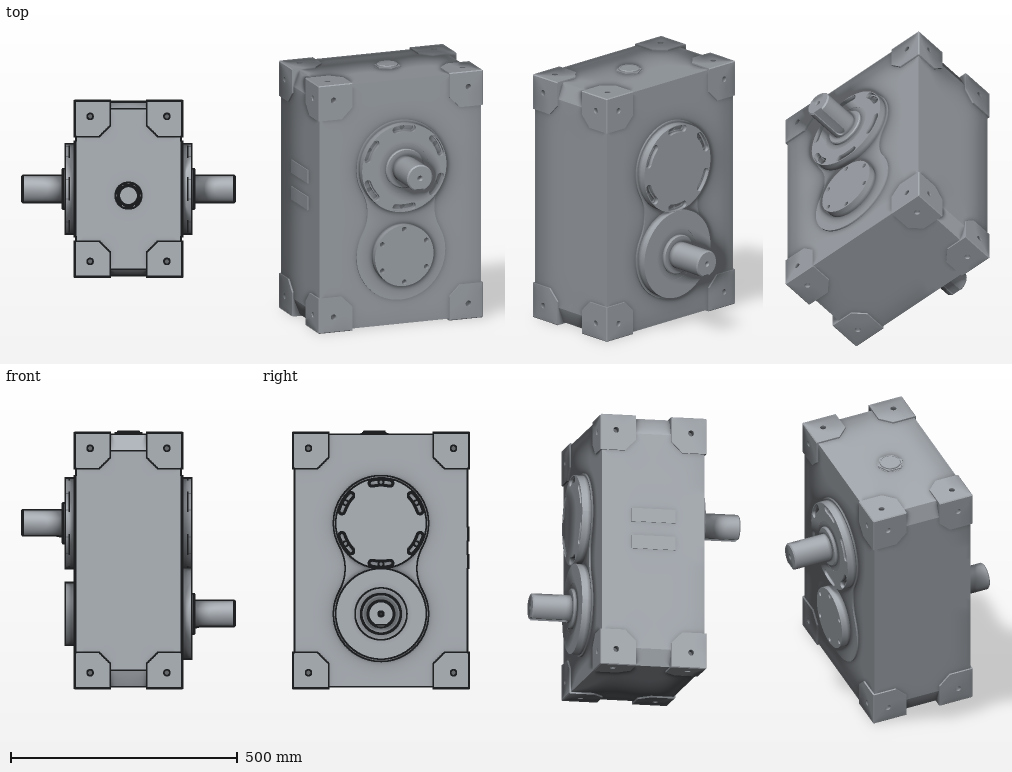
import cadquery as cq
import math

PAD_SPAN_X = 239.5
PAD_SPAN_Y = 390.0
PAD_SPAN_Z = 565.0
PAD_THICKNESS = 4.0
PAD_SIDE = 80.0
PAD_CORNER_CUT = 25.0
PAD_EDGE_CHAMFER = 2.0
PAD_HOLE_INSET = 35.0
PAD_HOLE_DIAMETER = 13.0
PAD_HOLE_DEPTH = 20.0

RELIEF_Y = 14.0
RELIEF_Z = 36.5

AXIS_SPACING = 200.0
UPPER_AXIS_Z = 82.5
LOWER_AXIS_Z = UPPER_AXIS_Z - AXIS_SPACING

PLATE_LOBE_RADIUS = 105.0
PLATE_NECK_RADIUS = 100.0

FLANGE_RADIUS = 100.0
FLANGE_FACE_X = 140.0
COVER_RADIUS = 69.5
BOLT_COUNT = 6
FIRST_BOLT_ANGLE = 90
COVER_BOLT_CIRCLE_RADIUS = 60.0
BOLT_HOLE_DIAMETER = 11.5
BOLT_HOLE_DEPTH = 17.0
FLANGE_BOLT_CIRCLE_RADIUS = 90.5
SLOT_HALF_ANGLE = 12.6
SLOT_HALF_WIDTH = 8.0
SLOT_DEPTH = 9.0
SLOT_FLOOR_HALF_WIDTH = 5.0
SLOT_FLOOR_DEPTH = 13.5
SEAL_RECESS_RADIUS = 57.5
SEAL_RECESS_DEPTH = 0.5

OVERALL_X = 470.0
SHAFT_DIAMETER = 60.0
SHAFT_CHAMFER = 3.0
HUB_RADIUS = 45.0
HUB_FACE_X = 146.0
HUB_CHAMFER = 2.0
KEYWAY_WIDTH = 21.5
KEYWAY_DEPTH = 6.0
KEYWAY_LENGTH = 85.0
CENTER_HOLE_DIAMETER = 7.0
CENTER_HOLE_DEPTH = 17.0
CENTER_SINK_DIAMETER = 12.5
CENTER_SINK_ANGLE = 60

OVERALL_Z = 568.0
PLUG_Y = -15.0
PLUG_TOP_Z = OVERALL_Z - PAD_SPAN_Z / 2
PLUG_HEX_ACROSS_FLATS = 50.5
PLUG_HEX_HEIGHT = 3.0
PLUG_WASHER_HEIGHT = 0.5
PLUG_HEAD_DIAMETER = 46.5
PLUG_HEAD_CHAMFER = 1.0
PLUG_RECESS_DIAMETER = 41.0
PLUG_RECESS_DEPTH = 1.0

BAR_LENGTH = 100.0
BAR_HEIGHT = 30.0
BAR_THICKNESS = 2.0
BAR_CENTERS_Z = (58.5, -2.0)

BODY_X = PAD_SPAN_X - 2 * PAD_THICKNESS
BODY_Y = PAD_SPAN_Y - 2 * PAD_THICKNESS
BODY_Z = PAD_SPAN_Z - 2 * PAD_THICKNESS
PLATE_FACE_X = PAD_SPAN_X / 2
SHAFT_END_X = OVERALL_X / 2
SIGNS = (-1, 1)


def x_cylinder(radius, start_x, end_x, z):
    """Cylinder along X on the axis at height z."""
    return cq.Workplane("YZ", origin=(start_x, 0, z)).circle(radius).extrude(end_x - start_x)


def make_body():
    """Housing block with its four long edges relieved between the pads."""
    body = cq.Workplane("XY").box(BODY_X, BODY_Y, BODY_Z)
    relief_length = PAD_SPAN_X - 2 * PAD_SIDE
    for side_y in SIGNS:
        for side_z in SIGNS:
            edge_y = side_y * BODY_Y / 2
            edge_z = side_z * BODY_Z / 2
            corner = [
                (edge_y, edge_z),
                (edge_y - side_y * RELIEF_Y, edge_z),
                (edge_y, edge_z - side_z * RELIEF_Z),
            ]
            relief = cq.Workplane("YZ").polyline(corner).close()
            body = body.cut(relief.extrude(relief_length / 2, both=True))
    return body


PAD_PLANES = (
    ("YZ", PAD_SPAN_Y, PAD_SPAN_Z, PAD_SPAN_X),
    ("XZ", PAD_SPAN_X, PAD_SPAN_Z, PAD_SPAN_Y),
    ("XY", PAD_SPAN_X, PAD_SPAN_Y, PAD_SPAN_Z),
)


def add_pads(body):
    """Three plates at each of the eight corners, drilled, with bevelled outer edges."""
    pads = cq.Workplane("XY")
    holes = cq.Workplane("XY")
    for plane, span_u, span_v, span_normal in PAD_PLANES:
        hole_u = span_u - 2 * PAD_HOLE_INSET
        hole_v = span_v - 2 * PAD_HOLE_INSET
        for side in SIGNS:
            face = cq.Workplane(plane).workplane(offset=side * span_normal / 2)
            for sign_u in SIGNS:
                for sign_v in SIGNS:
                    inset = [
                        (0, 0),
                        (PAD_SIDE, 0),
                        (PAD_SIDE, PAD_SIDE - PAD_CORNER_CUT),
                        (PAD_SIDE - PAD_CORNER_CUT, PAD_SIDE),
                        (0, PAD_SIDE),
                    ]
                    outline = [(sign_u * (span_u / 2 - u), sign_v * (span_v / 2 - v)) for u, v in inset]
                    pads = pads.union(face.polyline(outline).close().extrude(-side * PAD_THICKNESS))
            drilled = face.rect(hole_u, hole_v, forConstruction=True).vertices()
            holes = holes.union(drilled.circle(PAD_HOLE_DIAMETER / 2).extrude(-side * PAD_HOLE_DEPTH))
    envelope = cq.Workplane("XY").box(PAD_SPAN_X, PAD_SPAN_Y, PAD_SPAN_Z)
    envelope = envelope.edges().chamfer(PAD_EDGE_CHAMFER)
    return body.union(pads).intersect(envelope).cut(holes)


def make_plates():
    """Figure-eight plates on both ends: two lobes joined by tangent concave arcs."""
    half_spacing = AXIS_SPACING / 2
    center_distance = PLATE_LOBE_RADIUS + PLATE_NECK_RADIUS
    neck_center_y = math.sqrt(center_distance**2 - half_spacing**2)
    tangent_y = neck_center_y * PLATE_LOBE_RADIUS / center_distance
    tangent_z = half_spacing - half_spacing * PLATE_LOBE_RADIUS / center_distance
    neck_y = neck_center_y - PLATE_NECK_RADIUS
    end_z = half_spacing + PLATE_LOBE_RADIUS
    return (
        cq.Workplane("YZ", origin=(0, 0, (UPPER_AXIS_Z + LOWER_AXIS_Z) / 2))
        .moveTo(tangent_y, -tangent_z)
        .threePointArc((neck_y, 0), (tangent_y, tangent_z))
        .threePointArc((0, end_z), (-tangent_y, tangent_z))
        .threePointArc((-neck_y, 0), (-tangent_y, -tangent_z))
        .threePointArc((0, -end_z), (tangent_y, -tangent_z))
        .close()
        .extrude(PLATE_FACE_X, both=True)
    )


def bolt_holes(side, axis_z, circle_radius):
    """Blind holes into a flange face, starting above the axis."""
    return (
        cq.Workplane("YZ", origin=(side * FLANGE_FACE_X, 0, axis_z))
        .polarArray(circle_radius, FIRST_BOLT_ANGLE, 360, BOLT_COUNT)
        .circle(BOLT_HOLE_DIAMETER / 2)
        .extrude(-side * BOLT_HOLE_DEPTH)
    )


def arc_slots(side, axis_z, half_width, depth):
    """Curved slots with round ends, each centred on a bolt hole."""

    def polar(radius, angle):
        turn = math.radians(angle)
        return (radius * math.cos(turn), radius * math.sin(turn))

    mid = FLANGE_BOLT_CIRCLE_RADIUS
    inner = mid - half_width
    outer = mid + half_width
    tip_angle = SLOT_HALF_ANGLE + math.degrees(half_width / mid)
    slot = (
        cq.Workplane("YZ")
        .moveTo(*polar(inner, -SLOT_HALF_ANGLE))
        .threePointArc(polar(inner, 0), polar(inner, SLOT_HALF_ANGLE))
        .threePointArc(polar(mid, tip_angle), polar(outer, SLOT_HALF_ANGLE))
        .threePointArc(polar(outer, 0), polar(outer, -SLOT_HALF_ANGLE))
        .threePointArc(polar(mid, -tip_angle), polar(inner, -SLOT_HALF_ANGLE))
        .close()
        .extrude(-side * depth)
    )
    slots = cq.Workplane("YZ")
    for index in range(BOLT_COUNT):
        angle = FIRST_BOLT_ANGLE + index * 360 / BOLT_COUNT
        slots = slots.union(slot.rotate((0, 0, 0), (1, 0, 0), angle))
    return slots.translate((side * FLANGE_FACE_X, 0, axis_z))


def add_slotted_flange(part, side, axis_z):
    """Large flange with a bolt hole inside each stepped curved slot."""
    part = part.union(x_cylinder(FLANGE_RADIUS, 0, side * FLANGE_FACE_X, axis_z))
    part = part.cut(arc_slots(side, axis_z, SLOT_HALF_WIDTH, SLOT_DEPTH))
    part = part.cut(arc_slots(side, axis_z, SLOT_FLOOR_HALF_WIDTH, SLOT_FLOOR_DEPTH))
    return part.cut(bolt_holes(side, axis_z, FLANGE_BOLT_CIRCLE_RADIUS))


def add_cover(part, side, axis_z):
    """Small round cover with a ring of bolt holes."""
    part = part.union(x_cylinder(COVER_RADIUS, 0, side * FLANGE_FACE_X, axis_z))
    return part.cut(bolt_holes(side, axis_z, COVER_BOLT_CIRCLE_RADIUS))


def add_shaft_end(part, side, axis_z):
    """Seal recess, hub collar and keyed shaft end standing out of a flange."""
    face_x = side * FLANGE_FACE_X
    recess_floor_x = side * (FLANGE_FACE_X - SEAL_RECESS_DEPTH)
    end_x = side * SHAFT_END_X
    part = part.cut(x_cylinder(SEAL_RECESS_RADIUS, recess_floor_x, face_x, axis_z))

    hub = x_cylinder(HUB_RADIUS, recess_floor_x, side * HUB_FACE_X, axis_z)
    outer_face = ">X" if side > 0 else "<X"
    hub = hub.faces(outer_face).chamfer(HUB_CHAMFER)
    shaft = x_cylinder(SHAFT_DIAMETER / 2, 0, end_x, axis_z)
    shaft = shaft.faces(outer_face).chamfer(SHAFT_CHAMFER)

    keyway_floor_z = axis_z - SHAFT_DIAMETER / 2 + KEYWAY_DEPTH
    keyway = (
        cq.Workplane("XY", origin=(end_x, 0, keyway_floor_z))
        .slot2D(2 * KEYWAY_LENGTH, KEYWAY_WIDTH)
        .extrude(-2 * KEYWAY_DEPTH)
    )
    shaft = shaft.cut(keyway)
    shaft = (
        shaft.faces(outer_face)
        .workplane(origin=(end_x, 0, axis_z))
        .cskHole(CENTER_HOLE_DIAMETER, CENTER_SINK_DIAMETER, CENTER_SINK_ANGLE, CENTER_HOLE_DEPTH)
    )
    return part.union(hub).union(shaft)


def make_plug():
    """Filler plug: thin washer, hexagon with corners along X, and a recessed round head."""
    base_z = BODY_Z / 2
    seat = cq.Workplane("XY", origin=(0, PLUG_Y, base_z))
    across_corners = PLUG_HEX_ACROSS_FLATS / math.cos(math.pi / 6)
    washer = seat.circle(across_corners / 2).extrude(PLUG_WASHER_HEIGHT)
    hexagon = seat.polygon(6, across_corners).extrude(PLUG_HEX_HEIGHT)
    head = (
        seat.circle(PLUG_HEAD_DIAMETER / 2)
        .extrude(PLUG_TOP_Z - base_z)
        .faces(">Z")
        .chamfer(PLUG_HEAD_CHAMFER)
        .faces(">Z")
        .workplane()
        .hole(PLUG_RECESS_DIAMETER, PLUG_RECESS_DEPTH)
    )
    return washer.union(hexagon).union(head)


def make_back_bars():
    """Low horizontal bars on the back face, half sunk into the housing."""
    bars = cq.Workplane("XY")
    for center_z in BAR_CENTERS_Z:
        bar = cq.Workplane("XY").box(BAR_LENGTH, 2 * BAR_THICKNESS, BAR_HEIGHT)
        bars = bars.union(bar.translate((0, BODY_Y / 2, center_z)))
    return bars


result = add_pads(make_body()).union(make_plates()).union(make_plug()).union(make_back_bars())

result = add_slotted_flange(result, -1, UPPER_AXIS_Z)
result = add_shaft_end(result, -1, UPPER_AXIS_Z)
result = add_cover(result, -1, LOWER_AXIS_Z)

result = add_slotted_flange(result, 1, UPPER_AXIS_Z)
result = result.union(x_cylinder(FLANGE_RADIUS, 0, FLANGE_FACE_X, LOWER_AXIS_Z))
result = add_shaft_end(result, 1, LOWER_AXIS_Z)